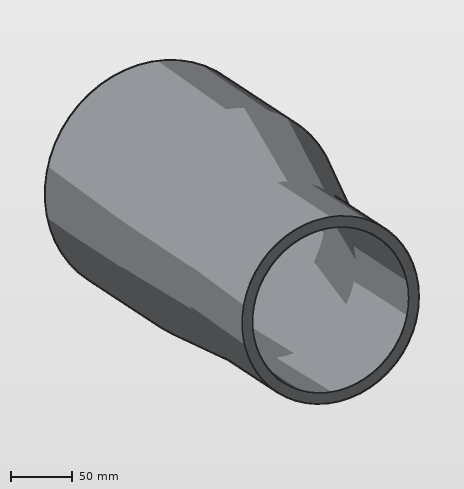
import cadquery as cq

total_length = 373.0
wide_length = 138.5
narrow_length = 100.0
taper_length = total_length - wide_length - narrow_length

wide_outer_diameter = 200.0
wide_bore_diameter = 176.0
narrow_outer_diameter = 160.0
narrow_bore_diameter = 141.0

narrow_offset_y = -(wide_outer_diameter - narrow_outer_diameter) / 2


def reducer_body(wide_diameter, narrow_diameter):
    """Solid round body: wide cylinder, eccentric taper and narrow cylinder."""
    wide_end = cq.Workplane("YZ").circle(wide_diameter / 2).extrude(wide_length)
    taper = (
        cq.Workplane("YZ", origin=(wide_length, 0, 0))
        .circle(wide_diameter / 2)
        .workplane(offset=taper_length)
        .center(narrow_offset_y, 0)
        .circle(narrow_diameter / 2)
        .loft(ruled=True)
    )
    narrow_end = (
        cq.Workplane("YZ", origin=(wide_length + taper_length, narrow_offset_y, 0))
        .circle(narrow_diameter / 2)
        .extrude(narrow_length)
    )
    return wide_end.union(taper).union(narrow_end)


outer_body = reducer_body(wide_outer_diameter, narrow_outer_diameter)
bore = reducer_body(wide_bore_diameter, narrow_bore_diameter)

result = outer_body.cut(bore)